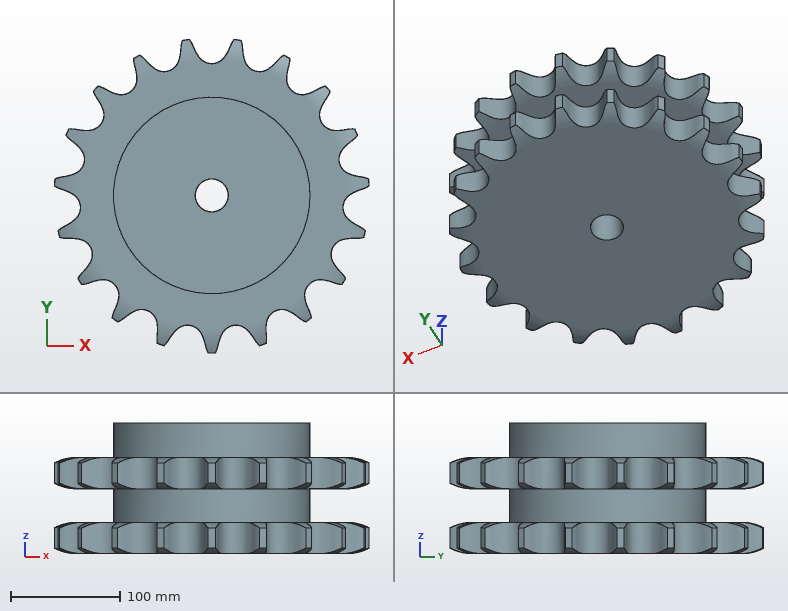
import cadquery as cq
import math

HEIGHT = 120.0
HUB_DIAMETER = 180.0
BORE_DIAMETER = 30.0

TEETH = 19
CHAIN_PITCH = 44.5
TIP_DIAMETER = 289.0
SEAT_RADIUS = 14.0
SEAT_ANGLE = 51.8
WORKING_RADIUS = 36.3
WORKING_ANGLE = 15.1
STRAIGHT_LENGTH = 3.5
TOPPING_RADIUS = 23.0
TOPPING_ANGLE = 45.0

PLATE_THICKNESS = 28.8
PLATE_SPACING = 59.5
RELIEF_RADIUS = 44.5
RELIEF_DEPTH = 5.2

CUT_MARGIN = 3.0

tip_radius = TIP_DIAMETER / 2
pitch_radius = CHAIN_PITCH / (2 * math.sin(math.pi / TEETH))


def plate_blank():
    """Disc whose rim narrows on both sides along tangent arcs."""
    relief_width = math.sqrt(RELIEF_RADIUS**2 - (RELIEF_RADIUS - RELIEF_DEPTH)**2)
    relief_start = tip_radius - relief_width
    half_sweep = math.asin(relief_width / RELIEF_RADIUS) / 2
    mid_radius = relief_start + RELIEF_RADIUS * math.sin(half_sweep)
    mid_depth = RELIEF_RADIUS * (1 - math.cos(half_sweep))
    return (
        cq.Workplane("XZ")
        .lineTo(relief_start, 0)
        .threePointArc((mid_radius, mid_depth), (tip_radius, RELIEF_DEPTH))
        .lineTo(tip_radius, PLATE_THICKNESS - RELIEF_DEPTH)
        .threePointArc((mid_radius, PLATE_THICKNESS - mid_depth), (relief_start, PLATE_THICKNESS))
        .lineTo(0, PLATE_THICKNESS)
        .close()
        .revolve(360, (0, 0), (0, 1))
    )


def offset_point(point, distance, angle):
    """Point at a distance from another, with the angle in degrees measured from -Y towards +X."""
    turn = math.radians(angle)
    return point[0] + distance * math.sin(turn), point[1] - distance * math.cos(turn)


def mirrored(point):
    return -point[0], point[1]


def tooth_gap():
    """Cutter for the gap centred on +Y: roller seat, then working arc, straight and topping arc."""
    roller_centre = (0, pitch_radius)
    seat_bottom = (0, pitch_radius - SEAT_RADIUS)
    seat_end = offset_point(roller_centre, SEAT_RADIUS, SEAT_ANGLE)

    flank_angle = SEAT_ANGLE + WORKING_ANGLE
    working_centre = offset_point(seat_end, -WORKING_RADIUS, SEAT_ANGLE)
    working_mid = offset_point(working_centre, WORKING_RADIUS, SEAT_ANGLE + WORKING_ANGLE / 2)
    working_end = offset_point(working_centre, WORKING_RADIUS, flank_angle)
    straight_end = offset_point(working_end, STRAIGHT_LENGTH, flank_angle + 90)

    topping_centre = offset_point(straight_end, TOPPING_RADIUS, flank_angle)
    topping_mid = offset_point(topping_centre, -TOPPING_RADIUS, flank_angle - TOPPING_ANGLE / 2)
    topping_end = offset_point(topping_centre, -TOPPING_RADIUS, flank_angle - TOPPING_ANGLE)

    return (
        cq.Workplane("XY")
        .workplane(offset=-CUT_MARGIN)
        .moveTo(*mirrored(seat_end))
        .threePointArc(seat_bottom, seat_end)
        .threePointArc(working_mid, working_end)
        .lineTo(*straight_end)
        .threePointArc(topping_mid, topping_end)
        .lineTo(*mirrored(topping_end))
        .threePointArc(mirrored(topping_mid), mirrored(straight_end))
        .lineTo(*mirrored(working_end))
        .threePointArc(mirrored(working_mid), mirrored(seat_end))
        .close()
        .extrude(PLATE_THICKNESS + 2 * CUT_MARGIN)
    )


def toothed_plate():
    plate = plate_blank()
    gap = tooth_gap()
    for i in range(TEETH):
        plate = plate.cut(gap.rotate((0, 0, 0), (0, 0, 1), i * 360 / TEETH))
    return plate


plate = toothed_plate()
result = cq.Workplane("XY").circle(HUB_DIAMETER / 2).extrude(HEIGHT)
for level in range(2):
    result = result.union(plate.translate((0, 0, level * PLATE_SPACING)))
bore = cq.Workplane("XY").circle(BORE_DIAMETER / 2).extrude(HEIGHT)
result = result.cut(bore)